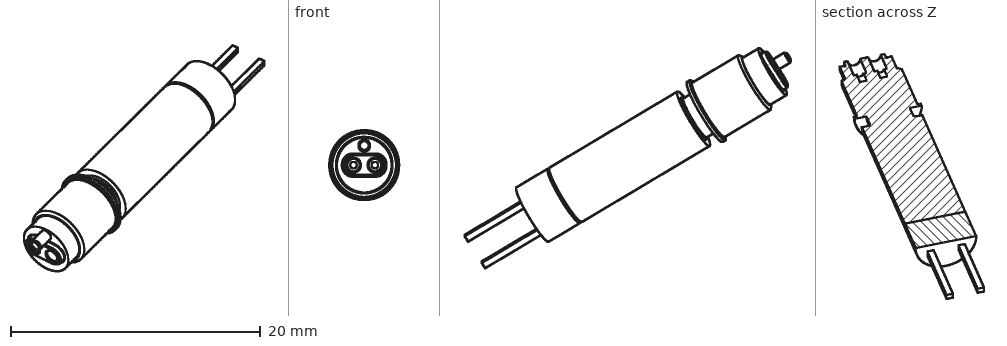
import cadquery as cq


nose_y = 1.5
shoulder_y = 3.0
flange_front_y = 7.62
flange_back_y = 7.88
barrel_front_y = 8.95
joint_y = 21.05
cap_back_y = 24.1
lead_end_y = 29.53

nose_radius = 2.19
body_radius = 2.55
flange_radius = 2.8
neck_radius = 1.83

shoulder_radius = 2.27
shoulder_length = 0.2
flange_chamfer = 0.1
neck_chamfer = 0.15
joint_chamfer = 0.1

socket_offset = 0.85
boss_radius = 0.85
boss_height = 0.45
boss_chamfer = 0.1
moat_width = 0.1
moat_depth = 0.1
socket_radius = 0.5
socket_chamfer = 0.1
mouth_taper = 45
socket_depth = 1.77
contact_radius = 0.27
contact_depth = 0.9

pin_radius = 0.47
pin_z = 1.57
pin_chamfer = 0.12

lead_offset = 1.3
lead_width = 0.53
lead_thickness = 0.45
lead_z = -0.8

boss_front_y = nose_y - boss_height


def plane_at(y):
    """Plane across the axis at station y; its normal points to +Y and its local y to +Z."""
    return cq.Workplane(cq.Plane(origin=(0, y, 0), xDir=(-1, 0, 0), normal=(0, 1, 0)))


def make_turned_body():
    """Nose, plug body, flange, neck and barrel, revolved about the Y axis."""
    profile = [
        (0, nose_y),
        (nose_radius, nose_y),
        (nose_radius, shoulder_y),
        (shoulder_radius, shoulder_y),
        (body_radius, shoulder_y + shoulder_length),
        (body_radius, flange_front_y - flange_chamfer),
        (body_radius + flange_chamfer, flange_front_y),
        (flange_radius, flange_front_y),
        (flange_radius, flange_back_y),
        (neck_radius, flange_back_y),
        (neck_radius, barrel_front_y - neck_chamfer),
        (neck_radius + neck_chamfer, barrel_front_y),
        (body_radius, barrel_front_y),
        (body_radius, joint_y - joint_chamfer),
        (body_radius - joint_chamfer, joint_y),
        (0, joint_y),
    ]
    return cq.Workplane("XY").polyline(profile).close().revolve(360, (0, 0, 0), (0, 1, 0))


def make_socket_boss():
    """Boss standing on the floor of the moat, chamfered around its front edge."""
    length = 2 * (socket_offset + boss_radius)
    boss = plane_at(boss_front_y).slot2D(length, 2 * boss_radius).extrude(boss_height + moat_depth)
    return boss.faces("<Y").chamfer(boss_chamfer)


def make_moat():
    """Cutter for the recess that the boss stands in, wider than the boss all round."""
    radius = boss_radius + moat_width
    return plane_at(nose_y).slot2D(2 * (socket_offset + radius), 2 * radius).extrude(moat_depth)


def make_sockets():
    """Cutters for the sockets: chamfered mouth, bore and a narrower contact hole at its end."""
    centers = [(-socket_offset, 0), (socket_offset, 0)]
    sockets = plane_at(boss_front_y).pushPoints(centers).circle(socket_radius).extrude(socket_depth)
    mouths = (
        plane_at(boss_front_y)
        .pushPoints(centers)
        .circle(socket_radius + socket_chamfer)
        .extrude(socket_chamfer, taper=mouth_taper)
    )
    contacts = (
        plane_at(boss_front_y + socket_depth)
        .pushPoints(centers)
        .circle(contact_radius)
        .extrude(contact_depth)
    )
    return sockets.union(mouths).union(contacts)


def make_key_pin():
    """Pin standing on the nose above the boss, chamfered at its tip."""
    pin = plane_at(0).center(0, pin_z).circle(pin_radius).extrude(nose_y)
    return pin.faces("<Y").chamfer(pin_chamfer)


def make_housing():
    """Turned body with the boss, its sockets and the key pin on the nose."""
    body = make_turned_body().cut(make_moat())
    body = body.union(make_socket_boss()).union(make_key_pin())
    return body.cut(make_sockets())


def make_rear_cap():
    """Cap that closes the barrel, with two rectangular leads on its back."""
    cap = plane_at(joint_y).circle(body_radius).extrude(cap_back_y - joint_y)
    cap = cap.faces("<Y").chamfer(joint_chamfer)
    leads = (
        plane_at(cap_back_y)
        .pushPoints([(-lead_offset, lead_z), (lead_offset, lead_z)])
        .rect(lead_width, lead_thickness)
        .extrude(lead_end_y - cap_back_y)
    )
    return cap.union(leads)


housing = make_housing()
rear_cap = make_rear_cap()

result = cq.Compound.makeCompound([housing.val(), rear_cap.val()])